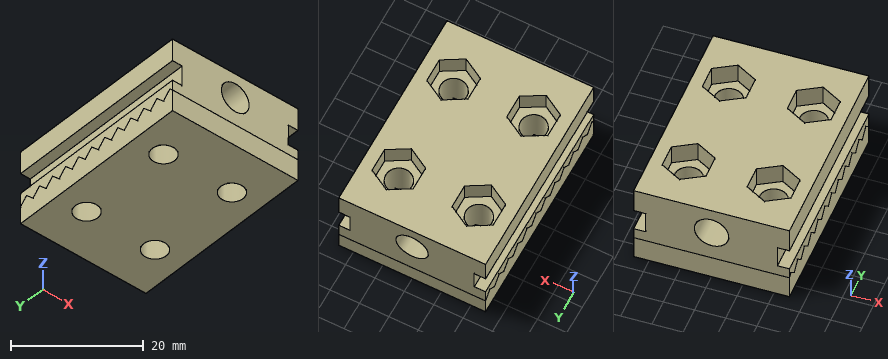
import cadquery as cq
import math

width = 25.0
length = 35.0
height = 14.1

crest_span = 33.0
pitch_count = 11
tooth_height = 1.47
crest_z = 4.65
first_crest_inset = 1.4

slot_depth = 1.92
slot_bottom_z = 6.0
slot_top_z = 9.85

bore_diameter = 5.5
bore_z = 9.4

bolt_diameter = 4.4
bolt_spacing_x = 13.6
bolt_spacing_y = 17.7
nut_across_flats = 7.0
nut_pocket_depth = 3.4

tooth_pitch = crest_span / pitch_count
nut_across_corners = nut_across_flats / math.cos(math.pi / 6)


def tooth_profile():
    """Joint zigzag as (y, z) points, running past both ends of the block."""
    first_crest_y = length / 2 - first_crest_inset
    points = []
    for i in range(-1, pitch_count + 2):
        crest_y = first_crest_y - i * tooth_pitch
        points.append((crest_y, crest_z))
        points.append((crest_y - tooth_pitch / 2, crest_z - tooth_height))
    return points


def below_joint():
    """Solid that fills everything under the joint zigzag."""
    zigzag = tooth_profile()
    start_y = zigzag[0][0]
    end_y = zigzag[-1][0]
    outline = zigzag + [(end_y, 0), (start_y, 0)]
    return cq.Workplane("YZ").polyline(outline).close().extrude(width / 2, both=True)


def full_block():
    return cq.Workplane("XY").box(width, length, height, centered=(True, True, False))


def at_bolts():
    """Points on the bolt axes, at the underside."""
    return cq.Workplane("XY").rarray(bolt_spacing_x, bolt_spacing_y, 2, 2)


def bolt_holes():
    return at_bolts().circle(bolt_diameter / 2).extrude(height)


def nut_pockets():
    """Hexagonal pockets with two flats facing along X."""
    hexagon = (
        cq.Workplane("XY", origin=(0, 0, height - nut_pocket_depth))
        .polygon(6, nut_across_corners)
        .extrude(nut_pocket_depth)
        .rotate((0, 0, 0), (0, 0, 1), 30)
        .val()
    )
    return at_bolts().eachpoint(lambda place: hexagon.moved(place), combine=True)


def side_slots():
    slot_height = slot_top_z - slot_bottom_z
    slot_centre_x = width / 2 - slot_depth / 2
    return (
        cq.Workplane("XY", origin=(0, 0, slot_bottom_z))
        .pushPoints([(-slot_centre_x, 0), (slot_centre_x, 0)])
        .rect(slot_depth, length)
        .extrude(slot_height)
    )


def lengthwise_bore():
    return (
        cq.Workplane("XZ", origin=(0, 0, bore_z))
        .circle(bore_diameter / 2)
        .extrude(length / 2, both=True)
    )


def make_base_plate():
    return full_block().intersect(below_joint()).cut(bolt_holes())


def make_upper_block():
    block = full_block().cut(below_joint())
    block = block.cut(side_slots())
    block = block.cut(lengthwise_bore())
    block = block.cut(bolt_holes())
    return block.cut(nut_pockets())


base_plate = make_base_plate()
upper_block = make_upper_block()

result = cq.Compound.makeCompound([base_plate.solids().val(), upper_block.solids().val()])